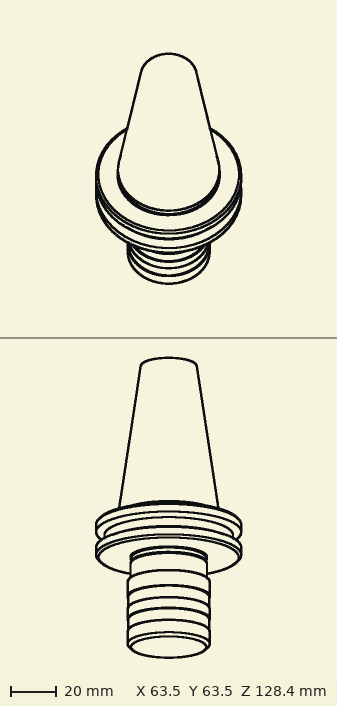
import cadquery as cq

TOTAL_HEIGHT = 128.4
GAUGE_HEIGHT = 60.0

GAUGE_RADIUS = 44.45 / 2
TAPER_SLOPE = 7 / 48
CONE_TIP_FILLET = 1.0

RELIEF_RADIUS = 22.0
RELIEF_TOP_DROP = 0.5
FLANGE_TOP_DROP = 3.2

CORNER_FILL = 0.4

FLANGE_RADIUS = 63.5 / 2
FLANGE_BOTTOM_DROP = 19.1
FLANGE_TOP_CHAMFER = 1.0
FLANGE_BOTTOM_CHAMFER = 1.1
GROOVE_CENTER_DROP = 11.1
GROOVE_FLOOR_RADIUS = 56.25 / 2
GROOVE_FLOOR_WIDTH = 4.0
GROOVE_MOUTH_WIDTH = 7.0
FLANGE_TOP = GAUGE_HEIGHT - FLANGE_TOP_DROP
FLANGE_BOTTOM = GAUGE_HEIGHT - FLANGE_BOTTOM_DROP

NECK_RADIUS = 16.4
NECK_BOTTOM = 38.6
COLLAR_RADIUS = 16.8
COLLAR_CHAMFER_HEIGHT = 0.7
SHANK_RADIUS = 18.0
SHANK_TOP = 30.0
SHANK_TOP_CHAMFER = 0.3
SHANK_END_CHAMFER = 1.5
BAND_RADIUS = 17.75
BAND_WIDTH = 5.65
BAND_BOTTOMS = (7.05, 17.35)


def revolved(points):
    """Solid of revolution about Z from (radius, height) points."""
    return cq.Workplane("XZ").polyline(points).close().revolve(360, (0, 0), (0, 1))


def make_band_cutter(bottom):
    """Ring that cuts a shallow band with 45-degree sides into the shank."""
    depth = SHANK_RADIUS - BAND_RADIUS
    return revolved([
        (BAND_RADIUS, bottom + depth),
        (SHANK_RADIUS, bottom),
        (SHANK_RADIUS + depth, bottom),
        (SHANK_RADIUS + depth, bottom + BAND_WIDTH),
        (SHANK_RADIUS, bottom + BAND_WIDTH),
        (BAND_RADIUS, bottom + BAND_WIDTH - depth),
    ])


def make_cone():
    relief_top = GAUGE_HEIGHT - RELIEF_TOP_DROP
    tip_radius = GAUGE_RADIUS - TAPER_SLOPE * (TOTAL_HEIGHT - GAUGE_HEIGHT)
    cone = revolved([
        (0, FLANGE_TOP),
        (RELIEF_RADIUS + CORNER_FILL, FLANGE_TOP),
        (RELIEF_RADIUS, FLANGE_TOP + CORNER_FILL),
        (RELIEF_RADIUS, relief_top),
        (GAUGE_RADIUS, GAUGE_HEIGHT),
        (tip_radius, TOTAL_HEIGHT),
        (0, TOTAL_HEIGHT),
    ])
    return cone.faces(">Z").edges().fillet(CONE_TIP_FILLET)


def make_flange():
    groove_center = GAUGE_HEIGHT - GROOVE_CENTER_DROP
    half_floor = GROOVE_FLOOR_WIDTH / 2
    half_mouth = GROOVE_MOUTH_WIDTH / 2
    return revolved([
        (0, FLANGE_BOTTOM),
        (FLANGE_RADIUS - FLANGE_BOTTOM_CHAMFER, FLANGE_BOTTOM),
        (FLANGE_RADIUS, FLANGE_BOTTOM + FLANGE_BOTTOM_CHAMFER),
        (FLANGE_RADIUS, groove_center - half_mouth),
        (GROOVE_FLOOR_RADIUS, groove_center - half_floor),
        (GROOVE_FLOOR_RADIUS, groove_center + half_floor),
        (FLANGE_RADIUS, groove_center + half_mouth),
        (FLANGE_RADIUS, FLANGE_TOP - FLANGE_TOP_CHAMFER),
        (FLANGE_RADIUS - FLANGE_TOP_CHAMFER, FLANGE_TOP),
        (0, FLANGE_TOP),
    ])


def make_shank():
    shank = revolved([
        (0, 0),
        (SHANK_RADIUS - SHANK_END_CHAMFER, 0),
        (SHANK_RADIUS, SHANK_END_CHAMFER),
        (SHANK_RADIUS, SHANK_TOP - SHANK_TOP_CHAMFER),
        (SHANK_RADIUS - SHANK_TOP_CHAMFER, SHANK_TOP),
        (COLLAR_RADIUS, SHANK_TOP),
        (COLLAR_RADIUS, NECK_BOTTOM - COLLAR_CHAMFER_HEIGHT),
        (NECK_RADIUS, NECK_BOTTOM),
        (NECK_RADIUS, FLANGE_BOTTOM - CORNER_FILL),
        (NECK_RADIUS + CORNER_FILL, FLANGE_BOTTOM),
        (0, FLANGE_BOTTOM),
    ])
    for bottom in BAND_BOTTOMS:
        shank = shank.cut(make_band_cutter(bottom))
    return shank


result = make_shank().union(make_flange()).union(make_cone())